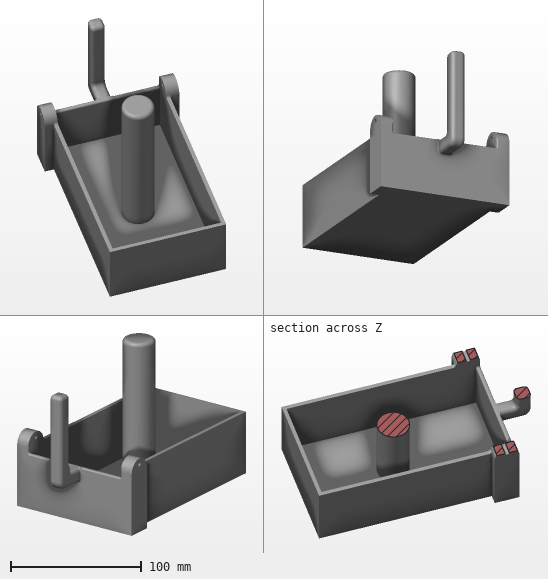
import cadquery as cq

length = 184.0
width = 108.4
height = 123.8

tray_front = 25.2
tray_height = 50.6
front_wall_height = 44.9
front_wall = 3.5
end_wall = 3.0
floor = 3.0
rim_round = 1.3

lug_radius = 10.0
lug_width = 10.5
lug_overhang = 7.4
lug_top = 60.4
lug_fillet = 3.0
pin_diameter = 3.1
pin_height = 55.5

post_x = 109.5
post_diameter = 25.4
post_round = 3.1

handle_size = 11.6
handle_top = 109.9
handle_round = 3.3
handle_outer_bend = 6.3
handle_inner_bend = 3.1
root_fillet = 1.1

tray_width = width - 2 * lug_overhang
inner_width = width - 2 * lug_width
lug_x = tray_front + lug_radius
lug_centre_z = lug_top - lug_radius
lug_back = tray_front + 2 * lug_radius
inner_front = tray_front + front_wall
handle_bottom = front_wall_height - handle_size

margin = 0.2


def block(x_min, x_max, y_size, z_min, z_max):
    """Box between two X and two Z planes, centred on Y = 0."""
    return (
        cq.Workplane("XY")
        .box(x_max - x_min, y_size, z_max - z_min, centered=(False, True, False))
        .translate((x_min, 0, z_min))
    )


def lug_pair():
    """Two lugs, including the fillets that run down onto the side wall rims."""
    lugs = (
        cq.Workplane("XZ")
        .moveTo(tray_front, 0)
        .lineTo(tray_front, lug_centre_z)
        .threePointArc((lug_x, lug_top), (lug_back, lug_centre_z))
        .lineTo(lug_back, 0)
        .close()
        .extrude(width / 2, both=True)
    )
    fillet_z = tray_height + lug_fillet
    centre_distance = lug_radius + lug_fillet
    fillet_x = lug_x + (centre_distance**2 - (fillet_z - lug_centre_z) ** 2) ** 0.5
    web = block(lug_x, fillet_x, tray_width, tray_height, fillet_z)
    relief = (
        cq.Workplane("XZ")
        .center(fillet_x, fillet_z)
        .circle(lug_fillet)
        .extrude(width, both=True)
    )
    touch_z = lug_centre_z + (fillet_z - lug_centre_z) * lug_radius / centre_distance
    web = web.cut(relief).intersect(block(0, length, width, 0, touch_z))
    return lugs.union(web)


def tray():
    body = block(tray_front, length, tray_width, 0, tray_height).union(lug_pair())
    body = body.cut(block(inner_front, length - end_wall, inner_width, floor, height))
    notch = block(0, inner_front, inner_width, front_wall_height, height)
    body = body.cut(notch.edges("|X and <Z").fillet(rim_round))
    body = round_notch(body)
    pin_hole = (
        cq.Workplane("XZ")
        .center(lug_x, pin_height)
        .circle(pin_diameter / 2)
        .extrude(width, both=True)
    )
    return body.cut(pin_hole)


def round_notch(body):
    """Round the notch outline on the front face and the inner rim of the front wall."""
    half = inner_width / 2 + margin
    outline = cq.selectors.BoxSelector(
        (tray_front - margin, -half, front_wall_height - margin),
        (tray_front + margin, half, lug_centre_z + margin),
    )
    inner_rim = cq.selectors.BoxSelector(
        (inner_front - margin, -margin, front_wall_height - margin),
        (inner_front + margin, margin, front_wall_height + margin),
    )
    body = body.edges(outline).fillet(rim_round)
    return body.edges(inner_rim).fillet(rim_round)


def post():
    return (
        cq.Workplane("XY")
        .center(post_x, 0)
        .circle(post_diameter / 2)
        .extrude(height)
        .faces(">Z")
        .edges()
        .fillet(post_round)
    )


def handle():
    """Handle with a filleted root, carrying the patch of front wall around it."""
    arm = block(0, inner_front, handle_size, handle_bottom, front_wall_height)
    grip = block(0, handle_size, handle_size, handle_bottom, handle_top)
    bar = arm.union(grip).clean()
    bar = bar.edges("|Y and <X and <Z").fillet(handle_outer_bend)
    inner_corner = cq.selectors.NearestToPointSelector((handle_size, 0, front_wall_height))
    bar = bar.edges(inner_corner).fillet(handle_inner_bend)
    bar = bar.faces("<Y or >Y or >Z").edges().edges("not(>X)").fillet(handle_round)

    wall = block(tray_front, inner_front - rim_round, 2 * handle_size, 0, tray_height)
    bar = bar.intersect(block(0, inner_front - rim_round, width, 0, height)).union(wall)
    root_reach = handle_size / 2 + margin
    root = cq.selectors.BoxSelector(
        (tray_front - margin, -root_reach, handle_bottom - margin),
        (tray_front + margin, root_reach, front_wall_height + margin),
    )
    bar = bar.edges(root).fillet(root_fillet)
    patch_width = handle_size + 2 * root_fillet
    patch = block(0, inner_front, patch_width, 0, front_wall_height)
    free_part = block(0, handle_size + handle_inner_bend, width, 0, height)
    return bar.intersect(patch.union(free_part))


result = tray().union(post()).union(handle())